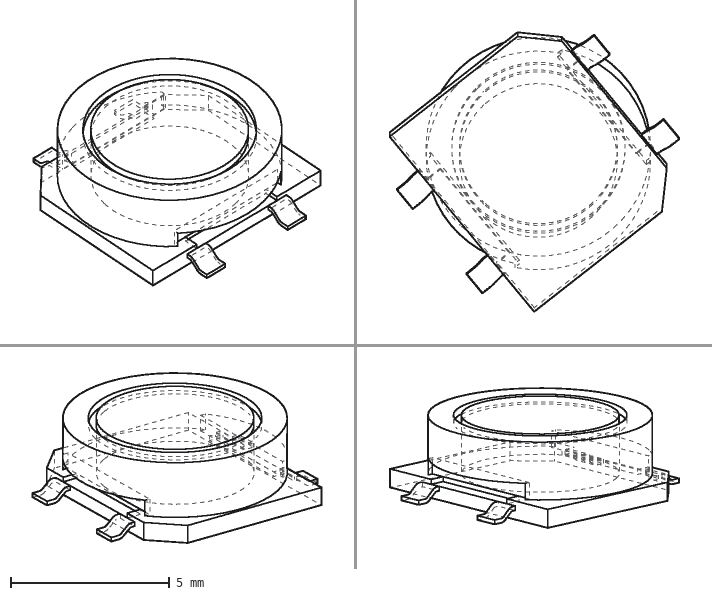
import cadquery as cq
import math

total_length = 8.0
total_height = 2.5

base_length = 6.19
base_width = 7.3
base_height = 0.61
corner_chamfer = 1.0
recess_width = 3.49
recess_floor = 0.45

ring_radius = 3.55
groove_radius = 2.74
core_radius = 2.5
groove_depth = 0.25
notch_width = 4.48
notch_distance = 2.58
notch_top = 1.14

lead_width = 0.8
lead_spacing = 3.51
lead_thickness = 0.14
lead_slope = 41.0
foot_length = 0.34
lower_bend_radius = 0.17
upper_bend_radius = 0.1


def side_block(side, inner, outer, width, bottom, top):
    """Box centred on Y = 0, between two distances from the axis on the given X side."""
    block = cq.Workplane("XY").box(outer - inner, width, top - bottom)
    return block.translate((side * (inner + outer) / 2, 0, (bottom + top) / 2))


def make_base():
    """Plate with two chamfered corners on -X and a recess at the middle of each X side."""
    base = cq.Workplane("XY").box(base_length, base_width, base_height, centered=(True, True, False))
    base = base.edges("|Z and <X").chamfer(corner_chamfer)
    for side in (-1, 1):
        base = base.cut(
            side_block(side, notch_distance, base_length / 2, recess_width, recess_floor, base_height)
        )
    return base


def make_ring():
    """Ring around the core, with a groove in its top and a notch under each X side."""
    ring = cq.Workplane("XY").workplane(offset=base_height).circle(ring_radius).circle(core_radius)
    ring = ring.extrude(total_height - base_height)
    groove = cq.Workplane("XY").workplane(offset=total_height - groove_depth)
    ring = ring.cut(groove.circle(groove_radius).extrude(groove_depth))
    for side in (-1, 1):
        ring = ring.cut(
            side_block(side, notch_distance, ring_radius, notch_width, base_height, notch_top)
        )
    return ring


def make_core():
    """Plain cylinder standing on the base, level with the top of the ring."""
    core = cq.Workplane("XY").workplane(offset=base_height)
    return core.circle(core_radius).extrude(total_height - base_height)


def make_lead(side, y_center):
    """Bent strip with its foot at Z = 0 and its top level with the recess floor."""
    slope = math.radians(lead_slope)
    lead_top = recess_floor
    tip = -total_length / 2
    root = -base_length / 2
    lower_corner = tip + foot_length
    upper_corner = lower_corner + (lead_top - lead_thickness) / math.tan(slope)
    underside_shift = lead_thickness * math.tan(slope / 2)
    outline = [
        (tip, 0),
        (tip, lead_thickness),
        (lower_corner, lead_thickness),
        (upper_corner, lead_top),
        (root, lead_top),
        (root, lead_top - lead_thickness),
        (upper_corner + underside_shift, lead_top - lead_thickness),
        (lower_corner + underside_shift, 0),
    ]
    lead = cq.Workplane("XZ").polyline(outline).close().extrude(lead_width / 2, both=True)

    bends = [
        (outline[2], lower_bend_radius),
        (outline[7], lower_bend_radius + lead_thickness),
        (outline[6], upper_bend_radius),
        (outline[3], upper_bend_radius + lead_thickness),
    ]
    for (x, z), radius in bends:
        lead = lead.edges(cq.NearestToPointSelector((x, 0, z))).fillet(radius)

    if side > 0:
        lead = lead.mirror("YZ")
    return lead.translate((0, y_center, 0))


base = make_base()
ring = make_ring()
core = make_core()
leads = [make_lead(side, end * lead_spacing / 2) for side in (-1, 1) for end in (-1, 1)]

result = cq.Compound.makeCompound(
    [base.val(), ring.val(), core.val(), *[lead.val() for lead in leads]]
)